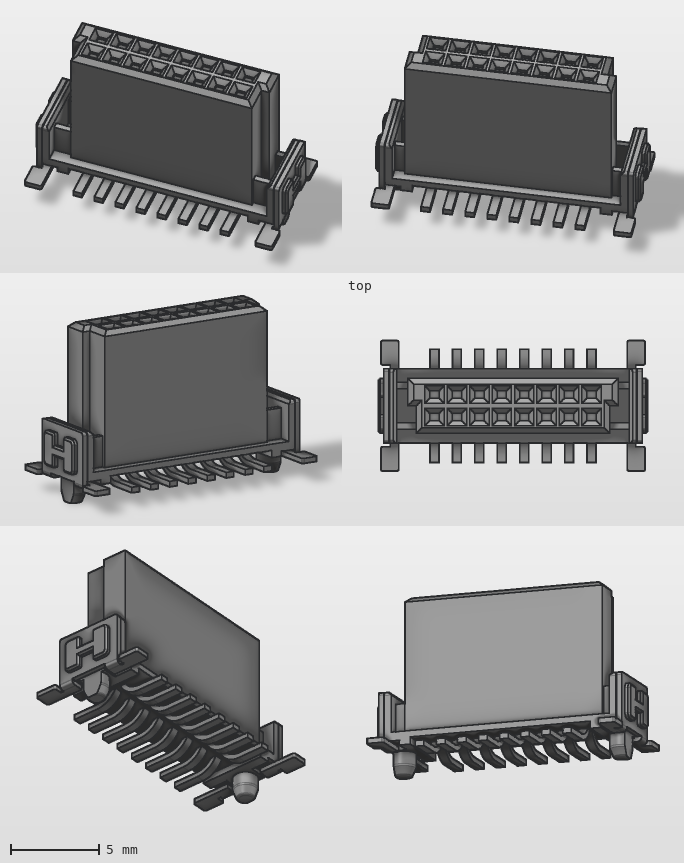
import cadquery as cq
import math


PITCH = 1.27
COLUMNS = 8
FIRST_CONTACT_X = -PITCH * (COLUMNS - 1) / 2
ROW_Y = PITCH / 2

BASE_HALF_X = 6.98
BASE_HALF_Y = 2.11
BASE_UNDERSIDE_Z = 0.86
FLOOR_Z = 1.23
STANDOFF_Z = 0.44
STANDOFF_INNER_X = 5.42
WALL_INNER_X = 6.57
WALL_TOP_Z = 3.61
WALL_CORNER_RADIUS = 0.2
WALL_TOP_CHAMFER = 0.2
RIB_INNER_Y = 0.97
RIB_OUTER_Y = 1.33
RIB_TOP_Z = 3.03

TOWER_WIDE_HALF_X = 5.95
TOWER_NARROW_HALF_X = 5.47
TOWER_HALF_Y = 1.555
TOWER_TOP_Z = 9.16
TOWER_CHAMFER_HEIGHT = 0.28
TOWER_CHAMFER_SETBACK = 0.32

SOCKET_MOUTH_X = 1.1
SOCKET_MOUTH_Y = 1.0
SOCKET_BORE_X = 0.53
SOCKET_BORE_Y = 0.41
FUNNEL_DEPTH = 0.3
BORE_DEPTH = 0.15

LEAD_WIDTH = 0.52
LEAD_THICKNESS = 0.33
LEAD_TIP_Y = 3.21
LEAD_BEND_Y = 1.52
LEAD_BEND_RADIUS = 1.5
LEAD_BEND_ANGLE = 65.0

POST_X = 6.61
POST_RADIUS = 0.74
POST_TAPER_Z = -0.33
POST_BOTTOM_Z = -0.92
POST_TIP_RADIUS = 0.5
POST_SHOULDER_FILLET = 0.3
POST_TIP_FILLET = 0.15

METAL = 0.3
BRACKET_OUTER_X = 7.32
BRACKET_INNER_X = BRACKET_OUTER_X - METAL
BRACKET_CORNER_RADIUS = 0.16
BEND_RADIUS = 0.28
FOOT_BOTTOM_Z = 0.28
FOOT_TOP_Z = FOOT_BOTTOM_Z + METAL
FOOT_OUTER_X = 7.48
FOOT_INNER_X = 6.46
FOOT_NECK_X = 6.96
FOOT_PAD_Y = 2.31
FOOT_TIP_Y = 3.7
FOOT_CORNER_RADIUS = 0.12
FLANGE_INNER_Y = 1.2
RECESS_INNER_X = 6.08
RECESS_INNER_Y = 0.93
RECESS_TOP_Z = 0.72

BOSS_OUTER_X = 7.62
BOSS_HALF_Y = 1.555
BOSS_BAR_INNER_Y = 0.49
BOSS_BOTTOM_Z = 1.04
BOSS_TOP_Z = 3.09
BOSS_BRIDGE_BOTTOM_Z = 1.74
BOSS_BRIDGE_TOP_Z = 2.37
BOSS_CORNER_RADIUS = 0.29
BOSS_TIP_RADIUS = 0.15
BOSS_EDGE_CHAMFER = 0.12


def block(x0, x1, y0, y1, z0, z1):
    """Box between two opposite corners."""
    return cq.Workplane("XY").box(x1 - x0, y1 - y0, z1 - z0, centered=False).translate((x0, y0, z0))


def mirrored(shape, plane):
    """The shape together with its mirror image."""
    return shape.union(shape.mirror(plane))


def tower_outline(inset):
    """Corners of the keyed tower section, moved inwards by the inset."""
    wide_x = TOWER_WIDE_HALF_X - inset
    narrow_x = TOWER_NARROW_HALF_X - inset
    half_y = TOWER_HALF_Y - inset
    return [
        (-wide_x, half_y),
        (-wide_x, inset),
        (-narrow_x, inset),
        (-narrow_x, -half_y),
        (narrow_x, -half_y),
        (narrow_x, inset),
        (wide_x, inset),
        (wide_x, half_y),
    ]


def make_tower():
    """Tower that is wider along its +Y half, with a sloped rim at the top."""
    rim_z = TOWER_TOP_Z - TOWER_CHAMFER_HEIGHT
    shaft = cq.Workplane("XY").workplane(offset=BASE_UNDERSIDE_Z).polyline(tower_outline(0)).close()
    rim = (
        cq.Workplane("XY")
        .workplane(offset=rim_z)
        .polyline(tower_outline(0))
        .close()
        .workplane(offset=TOWER_CHAMFER_HEIGHT)
        .polyline(tower_outline(TOWER_CHAMFER_SETBACK))
        .close()
        .loft(ruled=True)
    )
    return shaft.extrude(rim_z - BASE_UNDERSIDE_Z).union(rim)


def make_socket():
    """Cutter for one socket centred on the Z axis: a funnel above a straight bore."""
    funnel = (
        cq.Workplane("XY")
        .workplane(offset=TOWER_TOP_Z)
        .rect(SOCKET_MOUTH_X, SOCKET_MOUTH_Y)
        .workplane(offset=-FUNNEL_DEPTH)
        .rect(SOCKET_BORE_X, SOCKET_BORE_Y)
        .loft(ruled=True)
    )
    bore = cq.Workplane("XY").workplane(offset=TOWER_TOP_Z - FUNNEL_DEPTH).rect(SOCKET_BORE_X, SOCKET_BORE_Y)
    return funnel.union(bore.extrude(-BORE_DEPTH))


def make_lead():
    """One lead on the +Y side: a flat tail that curves up into the housing."""
    angle = math.radians(LEAD_BEND_ANGLE)
    inner_radius = LEAD_BEND_RADIUS - LEAD_THICKNESS

    def on_bend(radius, turn):
        return (LEAD_BEND_Y - radius * math.sin(turn), LEAD_BEND_RADIUS - radius * math.cos(turn))

    return (
        cq.Workplane("YZ")
        .moveTo(LEAD_TIP_Y, 0)
        .lineTo(LEAD_BEND_Y, 0)
        .threePointArc(on_bend(LEAD_BEND_RADIUS, angle / 2), on_bend(LEAD_BEND_RADIUS, angle))
        .lineTo(*on_bend(inner_radius, angle))
        .threePointArc(on_bend(inner_radius, angle / 2), (LEAD_BEND_Y, LEAD_THICKNESS))
        .lineTo(LEAD_TIP_Y, LEAD_THICKNESS)
        .close()
        .extrude(LEAD_WIDTH / 2, both=True)
    )


def make_end_wall():
    """Upright wall at the -X end, rounded at its top corners and bevelled on its inner top edge."""
    wall = block(-BASE_HALF_X, -WALL_INNER_X, -BASE_HALF_Y, BASE_HALF_Y, BASE_UNDERSIDE_Z, WALL_TOP_Z)
    wall = wall.edges("|X and >Z").fillet(WALL_CORNER_RADIUS)
    bevel = (
        cq.Workplane("XZ")
        .moveTo(-WALL_INNER_X, WALL_TOP_Z)
        .lineTo(-WALL_INNER_X - WALL_TOP_CHAMFER, WALL_TOP_Z)
        .lineTo(-WALL_INNER_X, WALL_TOP_Z - WALL_TOP_CHAMFER)
        .close()
        .extrude(BASE_HALF_Y, both=True)
    )
    return wall.cut(bevel)


def make_post():
    """Round locating post with a tapered tip and a flat flush with the -X end of the housing."""
    post = (
        cq.Workplane("XY")
        .workplane(offset=POST_TAPER_Z)
        .circle(POST_RADIUS)
        .workplane(offset=POST_BOTTOM_Z - POST_TAPER_Z)
        .circle(POST_TIP_RADIUS)
        .loft(ruled=True)
    )
    shank = cq.Workplane("XY").workplane(offset=POST_TAPER_Z).circle(POST_RADIUS)
    post = post.union(shank.extrude(BASE_UNDERSIDE_Z - POST_TAPER_Z))
    post = post.faces("<Z").edges().fillet(POST_TIP_FILLET)
    shoulder_zone = cq.selectors.BoxSelector(
        (-POST_RADIUS, -POST_RADIUS, POST_TAPER_Z - POST_TIP_FILLET),
        (POST_RADIUS, POST_RADIUS, POST_TAPER_Z + POST_TIP_FILLET),
    )
    post = post.edges("%CIRCLE").edges(shoulder_zone).fillet(POST_SHOULDER_FILLET)
    post = post.translate((-POST_X, 0, 0))
    outside = block(-BOSS_OUTER_X, -BASE_HALF_X, -POST_RADIUS, POST_RADIUS, POST_BOTTOM_Z, BASE_UNDERSIDE_Z)
    return post.cut(outside)


def make_foot():
    """Flange and solder pad on the +Y side of the -X bracket, with the bend that joins it to the plate."""
    pad = block(-FOOT_OUTER_X, -FOOT_INNER_X, FOOT_PAD_Y, FOOT_TIP_Y, FOOT_BOTTOM_Z, FOOT_TOP_Z)
    pad = pad.edges("|Z and (<X or >Y)").fillet(FOOT_CORNER_RADIUS)
    flange = block(-FOOT_NECK_X, -FOOT_INNER_X, FLANGE_INNER_Y, FOOT_PAD_Y, FOOT_BOTTOM_Z, FOOT_TOP_Z)
    bend = block(-BRACKET_OUTER_X, -FOOT_NECK_X, FLANGE_INNER_Y, BASE_HALF_Y, FOOT_BOTTOM_Z, FOOT_TOP_Z)
    bend = bend.edges("|Y and <X and <Z").fillet(BEND_RADIUS)
    return pad.union(flange).union(bend)


def make_bracket():
    """Hold-down bracket at the -X end: an upright plate standing on two feet."""
    plate = block(-BRACKET_OUTER_X, -BRACKET_INNER_X, -BASE_HALF_Y, BASE_HALF_Y, FOOT_TOP_Z, WALL_TOP_Z)
    plate = plate.edges("|X and >Z").fillet(BRACKET_CORNER_RADIUS)
    return plate.union(mirrored(make_foot(), "XZ"))


def make_boss():
    """H-shaped boss that reaches from the -X end wall through the bracket."""
    height = BOSS_TOP_Z - BOSS_BOTTOM_Z
    boss = block(-BOSS_OUTER_X, -BASE_HALF_X, -BOSS_HALF_Y, BOSS_HALF_Y, BOSS_BOTTOM_Z, BOSS_TOP_Z)
    boss = boss.edges("|X").fillet(BOSS_CORNER_RADIUS)
    notch_limits = ((BOSS_BOTTOM_Z - height, BOSS_BRIDGE_BOTTOM_Z), (BOSS_BRIDGE_TOP_Z, BOSS_TOP_Z + height))
    for low, high in notch_limits:
        boss = boss.cut(block(-BOSS_OUTER_X, -BASE_HALF_X, -BOSS_BAR_INNER_Y, BOSS_BAR_INNER_Y, low, high))
    for z in (BOSS_BOTTOM_Z, BOSS_TOP_Z):
        for y in (-BOSS_BAR_INNER_Y, BOSS_BAR_INNER_Y):
            tip = cq.selectors.NearestToPointSelector((-(BOSS_OUTER_X + BASE_HALF_X) / 2, y, z))
            boss = boss.edges("|X").edges(tip).fillet(BOSS_TIP_RADIUS)
    return boss.faces("<X").chamfer(BOSS_EDGE_CHAMFER)


def make_end():
    """Everything at the -X end apart from the tower and the base slab."""
    standoff = block(
        -BASE_HALF_X, -STANDOFF_INNER_X, -BASE_HALF_Y, BASE_HALF_Y, STANDOFF_Z, BASE_UNDERSIDE_Z
    )
    recess = block(-BASE_HALF_X, -RECESS_INNER_X, RECESS_INNER_Y, BASE_HALF_Y, STANDOFF_Z, RECESS_TOP_Z)
    rib = block(-WALL_INNER_X, -TOWER_NARROW_HALF_X, RIB_INNER_Y, RIB_OUTER_Y, FLOOR_Z, RIB_TOP_Z)
    end = standoff.cut(mirrored(recess, "XZ")).union(make_end_wall()).union(mirrored(rib, "XZ"))
    return end.union(make_post()).union(make_bracket()).union(make_boss())


def make_connector():
    base = block(-BASE_HALF_X, BASE_HALF_X, -BASE_HALF_Y, BASE_HALF_Y, BASE_UNDERSIDE_Z, FLOOR_Z)
    part = base.union(make_tower()).union(mirrored(make_end(), "YZ"))
    socket = make_socket()
    lead_pair = mirrored(make_lead(), "XZ")
    for column in range(COLUMNS):
        x = FIRST_CONTACT_X + column * PITCH
        for y in (-ROW_Y, ROW_Y):
            part = part.cut(socket.translate((x, y, 0)))
        part = part.union(lead_pair.translate((x, 0, 0)))
    return part


result = make_connector()